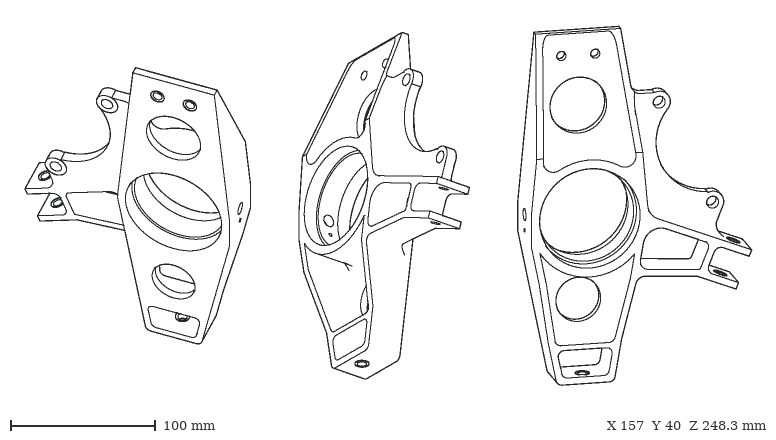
import cadquery as cq
import math

overall_width = 157.0
depth = 40.0
top_z = 125.1
bottom_z = -122.7
half_width = 41.7
top_half_width = 30.3
bottom_half_width = 20.4
flat_top_z = 4.5
flat_bottom_z = -17.6
flank_blend = 8.0
bottom_corner = 4.5

top_thickness = 5.5
bottom_depth = 27.5
taper_start = 45.2
lower_taper_end_z = -91.5

wall = 5.0
floor = 6.0
floor_fillet = 4.0
hub_radius = 42.2
hub_fillet = 7.5
lower_pocket_z = -94.0
pocket_corner = 4.5

window_top_z = -97.8
window_corner = 4.0

bore_radius = 33.8
seat_radius = 35.8
front_seat_depth = 12.2
back_seat_depth = 10.7
upper_hole_z, upper_hole_radius = 72.0, 20.0
lower_hole_z, lower_hole_radius = -68.0, 16.0

sensor_y = depth / 2
sensor_radius = 4.2
sensor_screw_radius = 1.2
sensor_screw_z = -11.5

insert_radius = 5.0
insert_hole_radius = 3.2
insert_recess = 0.5
top_insert_z = 108.3
top_insert_spacing = 24.0
bottom_insert_y = 17.1

arm_front = 12.5
plate_thickness = 8.0
plate_back = arm_front + plate_thickness
plate_top_z = 81.7
root_fillet = 8.0
bar_fillet = 12.0
strut_fillet = 6.0

upper_boss = (-54.1, 74.5)
lower_boss = (-92.0, -0.2)
boss_radius = 8.0
boss_rise = 0.2
boss_hole_radius = 4.2
clearance_radius = 38.0

fork_tip = (half_width - overall_width, -30.5)
fork_tilt = math.radians(22)
member = 5.0
fork_gap = 19.9
fork_reach = 24.8
fork_height = fork_gap + 2 * member
web_end = fork_reach + member
slot_corner = 5.0
strut_angle = math.radians(18)
strut_length = 69.5
bar_length = 84.5
web_top_corner = 4.0
web_bottom_corner = 2.0
fork_insert_u = 10.5

bar_low_z = -24.8
strut_low_z = -49.7
tolerance = 0.2
pick = 1.0
flank_band = 1.2
overlap = 2.5
clear = 24.8


def fork_point(u, v):
    """X, Z of a place given in the tilted fork frame."""
    x = fork_tip[0] + u * math.cos(fork_tilt) + v * math.sin(fork_tilt)
    z = fork_tip[1] + u * math.sin(fork_tilt) - v * math.cos(fork_tilt)
    return (x, z)


def to_fork(x, z):
    """u, v of a place given in X, Z."""
    dx = x - fork_tip[0]
    dz = z - fork_tip[1]
    u = dx * math.cos(fork_tilt) + dz * math.sin(fork_tilt)
    v = dx * math.sin(fork_tilt) - dz * math.cos(fork_tilt)
    return (u, v)


def prism(points, y_from, y_to):
    """Straight prism along Y over an X-Z outline."""
    return cq.Workplane("XZ", origin=(0, y_from, 0)).polyline(points).close().extrude(y_from - y_to)


def rod(x, z, radius, y_from, y_to):
    """Cylinder along Y."""
    return cq.Workplane("XZ", origin=(x, y_from, z)).circle(radius).extrude(y_from - y_to)


def near(x, z):
    """Thin box along Y that selects the Y-direction edge at X, Z."""
    return cq.selectors.BoxSelector((x - pick, -pick, z - pick), (x + pick, depth + pick, z + pick))


def flank_x(z):
    """X of the left flank at height Z, as a sharp outline."""
    if z > 0:
        return -half_width + (half_width - top_half_width) * z / top_z
    return -half_width + (half_width - bottom_half_width) * z / bottom_z


def body_outline(top):
    """Corners of the body outline, with the upper flanks run up to the given height."""
    return [
        (flank_x(top), top),
        (-flank_x(top), top),
        (half_width, flat_top_z),
        (half_width, flat_bottom_z),
        (bottom_half_width, bottom_z),
        (-bottom_half_width, bottom_z),
        (-half_width, 0),
    ]


def make_body():
    body = prism(body_outline(top_z), 0, depth)
    body = body.edges(near(-half_width, 0)).fillet(flank_blend)
    for side in (-1, 1):
        body = body.edges(near(side * bottom_half_width, bottom_z)).fillet(bottom_corner)
    return body


def make_frame():
    """Bar, fork and strut: the deep part of the side arm, running into the body."""
    strut_run = strut_length * math.cos(strut_angle)
    strut_drop = strut_length * math.sin(strut_angle)
    frame = prism(
        [
            fork_point(0, 0),
            fork_point(bar_length, 0),
            fork_point(web_end + strut_run, fork_height + strut_drop),
            fork_point(web_end, fork_height),
            fork_point(0, fork_height),
        ],
        arm_front,
        depth,
    )

    slot_top = member
    slot_bottom = member + fork_gap
    slot = prism(
        [
            fork_point(-clear, slot_top),
            fork_point(fork_reach, slot_top),
            fork_point(fork_reach, slot_bottom),
            fork_point(-clear, slot_bottom),
        ],
        arm_front,
        depth,
    )
    for v in (slot_top, slot_bottom):
        slot = slot.edges(near(*fork_point(fork_reach, v))).fillet(slot_corner)

    web_foot = fork_height - member / math.cos(strut_angle)
    opening = prism(
        [
            fork_point(web_end, member),
            fork_point(bar_length, member),
            fork_point(web_end + strut_run, web_foot + strut_drop),
            fork_point(web_end, web_foot),
        ],
        arm_front,
        depth,
    )
    opening = opening.edges(near(*fork_point(web_end, member))).fillet(web_top_corner)
    opening = opening.edges(near(*fork_point(web_end, web_foot))).fillet(web_bottom_corner)
    return frame.cut(slot).cut(opening)


def make_plate():
    """Thin caliper plate with its two bosses."""
    lower_u, lower_v = to_fork(*lower_boss)
    left_u = lower_u - boss_radius
    plate = prism(
        [
            (upper_boss[0], plate_top_z),
            (flank_x(plate_top_z) + overlap, plate_top_z),
            (flank_x(0) + overlap, 0),
            fork_point(bar_length, member / 2),
            fork_point(left_u, member / 2),
            fork_point(left_u, lower_v),
            lower_boss,
        ],
        arm_front,
        plate_back,
    )

    dx = upper_boss[0] - lower_boss[0]
    dz = upper_boss[1] - lower_boss[1]
    span = math.hypot(dx, dz)
    offset = math.sqrt((clearance_radius + boss_radius) ** 2 - (span / 2) ** 2)
    arc_x = (upper_boss[0] + lower_boss[0]) / 2 - offset * dz / span
    arc_z = (upper_boss[1] + lower_boss[1]) / 2 + offset * dx / span
    plate = plate.cut(rod(arc_x, arc_z, clearance_radius, 0, depth))
    for x, z in (upper_boss, lower_boss):
        plate = plate.union(rod(x, z, boss_radius, arm_front - boss_rise, plate_back))
    return plate


def runs_along_y(edge):
    return edge.BoundingBox().ylen > tolerance


def on_flank(edge):
    """True for edges against the left flank of the body, over the height of the arm."""
    center = edge.Center()
    beside = abs(center.x - flank_x(center.z)) < flank_band
    return beside and strut_low_z < center.z < plate_top_z + tolerance


def is_bar_corner(edge):
    return on_flank(edge) and runs_along_y(edge) and bar_low_z < edge.Center().z < 0


def is_strut_corner(edge):
    return on_flank(edge) and runs_along_y(edge) and edge.Center().z < bar_low_z


def is_face_root(edge):
    """Edges along the faces and top of the arm, and between the plate and the bar."""
    center = edge.Center()
    on_face = min(abs(center.y - arm_front), abs(center.y - plate_back)) < tolerance
    at_plate_top = runs_along_y(edge) and abs(center.z - plate_top_z) < tolerance
    at_body = on_flank(edge) and (on_face or at_plate_top)
    on_bar = abs(to_fork(center.x, center.z)[1]) < tolerance
    at_bar = on_bar and arm_front + tolerance < center.y < plate_back + tolerance
    return at_body or at_bar


def fillet_where(part, is_wanted, radius):
    edges = [edge for edge in part.edges().vals() if is_wanted(edge)]
    return part.newObject(edges).fillet(radius)


def fillet_roots(part):
    part = fillet_where(part, is_bar_corner, bar_fillet)
    part = fillet_where(part, is_face_root, root_fillet)
    return fillet_where(part, is_strut_corner, strut_fillet)


def taper(part, points, x_from):
    """Cut away the back of the part over a Y-Z outline, from X = x_from rightwards."""
    wedge = cq.Workplane("YZ", origin=(x_from, 0, 0)).polyline(points).close()
    return part.cut(wedge.extrude(half_width - x_from + clear))


def taper_back(part):
    above = top_z + clear
    behind = depth + clear
    slope = (depth - top_thickness) / (top_z - taper_start)
    upper = [
        (depth, taper_start),
        (behind, taper_start),
        (behind, above),
        (top_thickness - slope * clear, above),
    ]
    lower = [
        (depth, -taper_start),
        (bottom_depth, lower_taper_end_z),
        (bottom_depth, bottom_z - clear),
        (behind, bottom_z - clear),
        (behind, -taper_start),
    ]
    part = taper(part, upper, fork_tip[0])
    return taper(part, lower, -half_width)


def inner_prism(y_from, z_from, z_to):
    """Block inside the outer wall of the body, between two heights."""
    outline = cq.Workplane("XZ", origin=(0, y_from, 0)).polyline(body_outline(top_z + clear)).close()
    block = outline.offset2D(-wall).extrude(y_from - depth)
    band = prism(
        [(-half_width, z_from), (half_width, z_from), (half_width, z_to), (-half_width, z_to)],
        y_from,
        depth,
    )
    return block.intersect(band)


def make_pocket(z_from, z_to):
    """Pocket with sharp corners, kept clear of the hub around the bore."""
    return inner_prism(floor, z_from, z_to).cut(rod(0, 0, hub_radius, 0, depth))


def round_floor(pocket):
    return pocket.faces("<Y").edges().fillet(floor_fillet)


def make_upper_pocket():
    """Pocket above the bore; it runs out through the tapered top."""
    pocket = make_pocket(0, top_z + clear / 2)
    beside_hub = cq.selectors.BoxSelector((-half_width, 0, 0), (half_width, depth, hub_radius))
    return round_floor(pocket.edges("|Y").edges(beside_hub).fillet(hub_fillet))


def make_lower_pocket():
    pocket = make_pocket(lower_pocket_z, 0)
    return round_floor(pocket.edges("|Y").edges("<Z").fillet(pocket_corner))


def cut_openings(part):
    window = inner_prism(0, bottom_z, window_top_z).edges("|Y").fillet(window_corner)
    part = part.cut(window)
    for z, radius in ((upper_hole_z, upper_hole_radius), (lower_hole_z, lower_hole_radius)):
        part = part.cut(rod(0, z, radius, 0, depth))
    part = part.cut(rod(0, 0, bore_radius, 0, depth))
    part = part.cut(rod(0, 0, seat_radius, 0, front_seat_depth))
    part = part.cut(rod(0, 0, seat_radius, depth - back_seat_depth, depth))
    for x, z in (upper_boss, lower_boss):
        part = part.cut(rod(x, z, boss_hole_radius, 0, plate_back))
    for z, radius in ((0, sensor_radius), (sensor_screw_z, sensor_screw_radius)):
        hole = cq.Workplane("YZ", origin=(0, sensor_y, z)).circle(radius)
        part = part.cut(hole.extrude(half_width + clear))
    return part


def cut_insert(part, place, inward, length):
    """Insert hole of the given length with its ring recess, starting at place."""
    start = cq.Vector(*place)
    axis = cq.Vector(*inward)
    hole = cq.Solid.makeCylinder(insert_hole_radius, length, start, axis)
    recess = cq.Solid.makeCylinder(insert_radius, insert_recess, start, axis)
    return part.cut(cq.Workplane(hole)).cut(cq.Workplane(recess))


def add_inserts(part):
    for side in (-1, 1):
        part = cut_insert(part, (side * top_insert_spacing / 2, 0, top_insert_z), (0, 1, 0), depth)

    across = (math.sin(fork_tilt), 0, -math.cos(fork_tilt))
    insert_y = (arm_front + depth) / 2
    for v in (0, member + fork_gap):
        x, z = fork_point(fork_insert_u, v)
        part = cut_insert(part, (x, insert_y, z), across, member)

    foot_z = bottom_z - insert_recess
    foot = cq.Workplane("XY", origin=(0, bottom_insert_y, foot_z)).circle(insert_radius)
    part = part.union(foot.extrude(wall))
    return cut_insert(part, (0, bottom_insert_y, bottom_z + wall), (0, 0, -1), wall + insert_recess)


result = fillet_roots(make_body().union(make_frame()).union(make_plate()))
result = taper_back(result)
result = result.cut(make_upper_pocket()).cut(make_lower_pocket())
result = add_inserts(cut_openings(result))